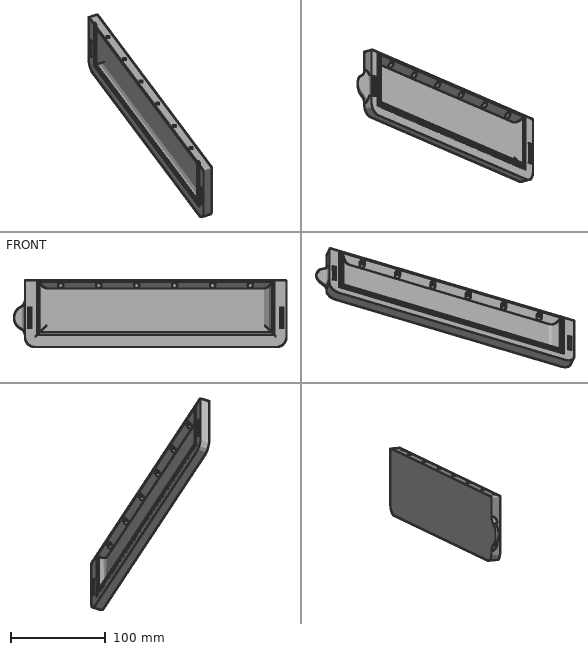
import cadquery as cq
import math

length = 287.2
thickness = 10.0
height = 70.5
tab_reach = 11.5
plate_left = tab_reach
plate_width = length - plate_left
middle_x = plate_left + plate_width / 2
bottom_corner_radius = 11.0
top_left_radius = 1.1
top_right_radius = 1.7

tray_side_margin = 15.5
tray_left = plate_left + tray_side_margin
tray_right = length - tray_side_margin
tray_top_margin = 1.7
tray_top = height - tray_top_margin
tray_bottom = 16.0
tray_depth = 7.2
tray_end_radius = 10.3
tray_bottom_radius = 9.2
tray_top_run = 7.2
tray_corner_radius = 1.5

groove_side_margin = 13.2
groove_bottom = 13.2
groove_mouth = 1.0
groove_depth = 1.7
groove_undercut = 1.7
groove_flank_depth = 1.1

hole_count = 6
hole_pitch = 40.0
hole_diameter = 3.2
hole_mouth_diameter = 5.7
hole_neck_length = 2.3
hole_y = 4.0

slot_margin = 3.5
slot_width = 3.5
slot_height = 21.5
slot_depth = 4.3
slot_inset = 0.72

side_feature_z = 31.0

tab_radius = 13.0
tab_thickness = 3.7
tab_edge_radius = 1.7
tab_root_radius = 3.2
tab_flare_radius = 7.8
tab_shoulder_half_height = 11.5
tab_shoulder_bulge = 0.5
tab_overlap = 1.5

pick_tolerance = 0.03


def front_box(left, right, bottom, top, depth):
    """Box running from the front face into the plate."""
    box = cq.Workplane("XY").box(right - left, depth, top - bottom, centered=False)
    return box.translate((left, 0, bottom))


def make_plate():
    plate = front_box(plate_left, length, 0, height, thickness)
    plate = plate.edges("|Y and <Z").fillet(bottom_corner_radius)
    plate = plate.edges("|Y and >Z and <X").fillet(top_left_radius)
    return plate.edges("|Y and >Z and >X").fillet(top_right_radius)


def make_tab():
    tab_back = thickness
    tab_front = thickness - tab_thickness
    root_front = tab_front - tab_root_radius
    inside = plate_left + tab_overlap

    flare_x = plate_left - tab_flare_radius
    center_distance = tab_radius + tab_flare_radius
    flare_rise = math.sqrt(center_distance**2 - (tab_radius - flare_x) ** 2)
    blend_x = tab_radius - (tab_radius - flare_x) * tab_radius / center_distance
    blend_rise = flare_rise * tab_radius / center_distance
    flare_angle = math.atan2(blend_rise - flare_rise, blend_x - flare_x) / 2
    flare_middle_x = flare_x + tab_flare_radius * math.cos(flare_angle)
    flare_middle_rise = flare_rise + tab_flare_radius * math.sin(flare_angle)
    outline = (
        cq.Workplane("XZ", origin=(0, tab_back, side_feature_z))
        .moveTo(inside, flare_rise)
        .lineTo(plate_left, flare_rise)
        .threePointArc((flare_middle_x, flare_middle_rise), (blend_x, blend_rise))
        .threePointArc((0, 0), (blend_x, -blend_rise))
        .threePointArc((flare_middle_x, -flare_middle_rise), (plate_left, -flare_rise))
        .lineTo(inside, -flare_rise)
        .close()
        .extrude(thickness)
    )

    section = (
        cq.Workplane("XY", origin=(0, 0, side_feature_z - flare_rise))
        .moveTo(0, tab_back)
        .lineTo(0, tab_front)
        .lineTo(plate_left - tab_root_radius, tab_front)
        .radiusArc((plate_left, root_front), tab_root_radius)
        .lineTo(inside, root_front)
        .lineTo(inside, tab_back)
        .close()
        .extrude(2 * flare_rise)
    )
    front_rim = cq.selectors.BoxSelector(
        (-tab_overlap, root_front - tab_overlap, 0),
        (plate_left - pick_tolerance, tab_front + pick_tolerance, height),
    )
    tab = outline.intersect(section).edges(front_rim).fillet(tab_edge_radius)

    shoulder = tab_shoulder_half_height
    end_front = tab_back - tab_edge_radius
    middle_front = (root_front + end_front) / 2 - tab_shoulder_bulge
    middle_rise = (shoulder + flare_rise) / 2 + tab_shoulder_bulge
    profile = (
        cq.Workplane("YZ", origin=(0, 0, side_feature_z))
        .moveTo(tab_back, flare_rise)
        .lineTo(end_front, flare_rise)
        .threePointArc((middle_front, middle_rise), (root_front, shoulder))
        .lineTo(root_front, -shoulder)
        .threePointArc((middle_front, -middle_rise), (end_front, -flare_rise))
        .lineTo(tab_back, -flare_rise)
        .close()
        .extrude(inside)
    )
    return tab.intersect(profile)


def wall_run(radius):
    """Distance a tray wall arc covers from the rim to its tangent point on the floor."""
    return math.sqrt(radius**2 - (radius - tray_depth) ** 2)


def wall_middle(rim, inward, radius):
    """Middle point of a tray wall arc, as (position along the face, depth)."""
    center = rim + inward * wall_run(radius)
    center_depth = tray_depth - radius
    rim_angle = math.asin(-center_depth / radius)
    angle = (rim_angle + math.pi / 2) / 2
    return center - inward * radius * math.cos(angle), center_depth + radius * math.sin(angle)


def make_tray():
    end_run = wall_run(tray_end_radius)
    lengthwise = (
        cq.Workplane("XY")
        .moveTo(tray_left, 0)
        .threePointArc(wall_middle(tray_left, 1, tray_end_radius), (tray_left + end_run, tray_depth))
        .lineTo(tray_right - end_run, tray_depth)
        .threePointArc(wall_middle(tray_right, -1, tray_end_radius), (tray_right, 0))
        .close()
        .extrude(height)
    )
    middle_z, middle_y = wall_middle(tray_bottom, 1, tray_bottom_radius)
    upright = (
        cq.Workplane("YZ")
        .moveTo(0, tray_bottom)
        .threePointArc((middle_y, middle_z), (tray_depth, tray_bottom + wall_run(tray_bottom_radius)))
        .lineTo(tray_depth, tray_top - tray_top_run)
        .lineTo(0, tray_top)
        .close()
        .extrude(length)
    )
    rim = front_box(tray_left, tray_right, tray_bottom, tray_top, tray_depth)
    rim = rim.edges("|Y").fillet(tray_corner_radius)
    return lengthwise.intersect(upright).intersect(rim)


def make_groove():
    path = (
        cq.Workplane("XZ")
        .moveTo(plate_left + groove_side_margin, height)
        .lineTo(plate_left + groove_side_margin, groove_bottom)
        .lineTo(length - groove_side_margin, groove_bottom)
        .lineTo(length - groove_side_margin, height)
    )
    half_mouth = groove_mouth / 2
    half_floor = half_mouth + groove_undercut
    section = cq.Workplane("XY", origin=(plate_left + groove_side_margin, 0, height)).polyline(
        [
            (-half_mouth, 0),
            (half_mouth, 0),
            (half_floor, groove_flank_depth),
            (half_floor, groove_depth),
            (-half_floor, groove_depth),
            (-half_floor, groove_flank_depth),
        ]
    )
    return section.close().sweep(path, transition="right")


def make_holes():
    first_x = middle_x - hole_pitch * (hole_count - 1) / 2
    centers = [(first_x + i * hole_pitch, hole_y) for i in range(hole_count)]
    floor_drop = tray_top_margin + tray_top_run
    drill = cq.Workplane("XY", origin=(0, 0, height)).pushPoints(centers)
    necks = drill.circle(hole_diameter / 2).extrude(-floor_drop)
    mouths = (
        cq.Workplane("XY", origin=(0, 0, height - hole_neck_length))
        .pushPoints(centers)
        .circle(hole_mouth_diameter / 2)
        .extrude(hole_neck_length - floor_drop)
    )
    return necks.union(mouths)


def make_slot(center_x):
    return (
        cq.Workplane("XZ", origin=(center_x, 0, side_feature_z))
        .rect(slot_width, slot_height)
        .workplane(offset=-slot_depth)
        .rect(slot_width - 2 * slot_inset, slot_height - 2 * slot_inset)
        .loft(ruled=True)
    )


slot_center_margin = slot_margin + slot_width / 2
result = make_plate().union(make_tab()).cut(make_tray()).cut(make_groove()).cut(make_holes())
for slot_x in (plate_left + slot_center_margin, length - slot_center_margin):
    result = result.cut(make_slot(slot_x))